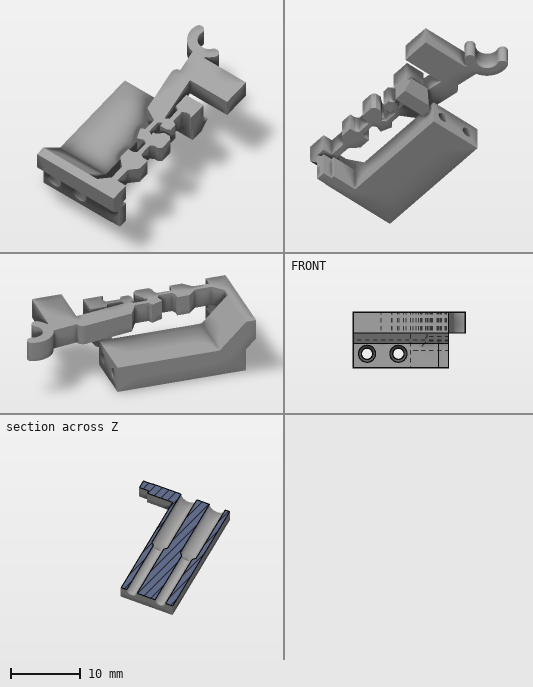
import cadquery as cq
import math

total_height = 8.0
arm_thickness = 3.0
arm_bottom = total_height - arm_thickness
base_top = 4.0
tab_bottom = 2.5

base_width = 8.2
base_back = 21.0
wall_width = 13.7
wall_thickness = 1.52
foot_back = 3.5
foot_tip_start = 12.2
foot_tip_recess = 0.05

bore_diameter = 2.45
bore_depth = 9.92
pilot_diameter = 1.6
hole_first_x = 2.0
hole_pitch = 4.5
hole_height = 2.02
hole_count = 2

anchor_back = 3.0
stem_width = 1.0

chain_x = 11.65
offset_flexure_x = 10.02
web_width = 0.7
flare_run = 0.55
flare_rise = 0.33
flexure_length = 2.7
lower_flexure_start = 8.6
middle_flexure_start = 12.7
upper_flexure_start = 16.25
lower_flexure_end = lower_flexure_start + flexure_length
middle_flexure_end = middle_flexure_start + flexure_length
upper_flexure_end = upper_flexure_start + flexure_length

link_width = 3.5
link_shoulder = 6.7
link_taper = (link_width - stem_width) / 2

jaw_tip_x = 9.0
jaw_toe = (9.7, 10.95)
lobe_bottom_x = 13.15
lobe_lower_y = 11.65
lobe_upper_y = 13.62
lobe_top = 14.1
lobe_top_right = 13.22
lobe_top_left = 12.33
lobe_ledge = (11.35, 13.22)

pad_left = 10.98
pad_right = 12.65
pad_bottom = 14.78
pad_corner_x = 12.2
pad_corner_y = 15.08

arm_slope = 1 / 6
arm_heel = (7.57, 16.25)
arm_right_foot = 10.68
head_right = 16.07
head_bottom = 24.05
head_top = 28.53
head_notch_x = 8.55
neck_base = (7.17, 24.7)
shoulder_end_y = 23.67

hook_center = (7.17, 31.65)
hook_inner_radius = 1.7
hook_outer_radius = 3.2
hook_start_angle = 164.3
hook_end_angle = 322
hook_overlap = 0.33

latch_left = 10.6
latch_front = upper_flexure_end
latch_back = 21.55
latch_flare = 0.5
latch_flare_top = base_top + latch_flare
tab_back = 22.48
tab_corner_x = 10.6
tab_edge_height = 0.13
tooth_width = 0.55
tooth_length = 0.43


def arm_plate(points):
    """Extrude a plan outline through the arm thickness."""
    return (
        cq.Workplane("XY", origin=(0, 0, arm_bottom))
        .polyline(points)
        .close()
        .extrude(arm_thickness)
    )


def box(x_range, y_range, z_range):
    (x0, x1), (y0, y1), (z0, z1) = x_range, y_range, z_range
    return cq.Workplane("XY").box(x1 - x0, y1 - y0, z1 - z0, centered=False).translate((x0, y0, z0))


def side_extrusion(points, width):
    """Extrude a (Y, Z) profile along +X from X = 0."""
    return cq.Workplane("YZ").polyline(points).close().extrude(width)


def base():
    overhang = [
        (wall_thickness, 0),
        (wall_thickness, arm_bottom - wall_thickness),
        (0, arm_bottom),
        (0, total_height),
        (wall_thickness, total_height),
    ]
    ramp_end = wall_thickness + total_height - base_top
    plate = side_extrusion(
        overhang + [(ramp_end, base_top), (base_back, base_top), (base_back, 0)], base_width
    )
    step = arm_bottom - base_top
    foot = side_extrusion(
        overhang
        + [
            (wall_thickness, arm_bottom),
            (wall_thickness + step, base_top),
            (foot_back, base_top),
            (foot_back, 0),
        ],
        wall_width,
    )
    tip_x = (foot_tip_start, wall_width)
    foot = foot.cut(box(tip_x, (anchor_back, foot_back), (0, base_top)))
    front = (wall_thickness, wall_thickness + foot_tip_recess)
    foot = foot.cut(box(tip_x, front, (0, arm_bottom - wall_thickness)))
    return plate.union(foot)


def screw_holes():
    """Through holes along Y: a wide front bore, a 45 degree cone, then a narrow pilot."""
    bore_radius = bore_diameter / 2
    pilot_radius = pilot_diameter / 2
    cone_end = bore_depth + bore_radius - pilot_radius
    hole_length = base_back - wall_thickness
    hole = (
        cq.Workplane("XY")
        .polyline([
            (0, 0),
            (bore_radius, 0),
            (bore_radius, bore_depth),
            (pilot_radius, cone_end),
            (pilot_radius, hole_length),
            (0, hole_length),
        ])
        .close()
        .revolve(360, (0, 0, 0), (0, 1, 0))
    )
    holes = cq.Workplane("XY")
    for index in range(hole_count):
        x = hole_first_x + index * hole_pitch
        holes = holes.union(hole.translate((x, wall_thickness, hole_height)))
    return holes


def flexure(center_x, start_y):
    half = web_width / 2
    wide = half + flare_run
    end_y = start_y + flexure_length
    right = [
        (wide, start_y),
        (half, start_y + flare_rise),
        (half, end_y - flare_rise),
        (wide, end_y),
    ]
    left = [(-x, y) for x, y in reversed(right)]
    return arm_plate([(center_x + x, y) for x, y in right + left])


def anchor():
    stem_left = chain_x - stem_width / 2
    stem_right = chain_x + stem_width / 2
    gusset = anchor_back - wall_thickness
    return arm_plate([
        (stem_left - gusset, wall_thickness),
        (stem_left - gusset, 0),
        (wall_width, 0),
        (wall_width, anchor_back),
        (stem_right, anchor_back),
        (stem_right, link_shoulder),
        (stem_left, link_shoulder),
        (stem_left, anchor_back),
    ])


def lower_link():
    half = link_width / 2
    stem_half = stem_width / 2
    return arm_plate([
        (chain_x - stem_half, link_shoulder - link_taper),
        (chain_x + stem_half, link_shoulder - link_taper),
        (chain_x + half, link_shoulder),
        (chain_x + half, lower_flexure_start),
        (chain_x - half, lower_flexure_start),
        (chain_x - half, link_shoulder),
    ])


def middle_link():
    web_left = offset_flexure_x - web_width / 2
    web_right = offset_flexure_x + web_width / 2
    flare_half = web_width / 2 + flare_run
    return arm_plate([
        (jaw_tip_x, middle_flexure_start),
        jaw_toe,
        (chain_x - flare_half, lower_flexure_end),
        (lobe_bottom_x, lower_flexure_end),
        (wall_width, lobe_lower_y),
        (wall_width, lobe_upper_y),
        (lobe_top_right, lobe_top),
        (lobe_top_left, lobe_top),
        lobe_ledge,
        (pad_left, lobe_ledge[1]),
        (pad_left, middle_flexure_start),
        (web_right, middle_flexure_start + flare_rise),
        (web_left, middle_flexure_start + flare_rise),
    ])


def lever():
    web_left = offset_flexure_x - web_width / 2
    web_right = offset_flexure_x + web_width / 2
    web_top = middle_flexure_end - flare_rise
    heel_x, heel_y = arm_heel
    neck_x, neck_y = neck_base
    shoulder_end = (heel_x - arm_slope * (shoulder_end_y - heel_y), shoulder_end_y)
    neck_top_y = hook_center[1] - hook_outer_radius + hook_overlap
    neck_top = (neck_x - arm_slope * (neck_top_y - neck_y), neck_top_y)
    elbow_x = arm_right_foot - arm_slope * (head_bottom - upper_flexure_start)
    return (
        cq.Workplane("XY", origin=(0, 0, arm_bottom))
        .moveTo(web_left, web_top)
        .lineTo(heel_x, heel_y)
        .lineTo(*shoulder_end)
        .tangentArcPoint(neck_base, relative=False)
        .lineTo(*neck_top)
        .lineTo(head_notch_x, neck_top_y + hook_overlap)
        .lineTo(head_notch_x, head_top)
        .lineTo(head_right, head_top)
        .lineTo(head_right, head_bottom)
        .lineTo(elbow_x, head_bottom)
        .lineTo(arm_right_foot, upper_flexure_start)
        .lineTo(pad_right, upper_flexure_start)
        .lineTo(pad_right, pad_corner_y)
        .lineTo(pad_corner_x, pad_bottom)
        .lineTo(pad_left, pad_bottom)
        .lineTo(pad_left, middle_flexure_end)
        .lineTo(web_right, web_top)
        .close()
        .extrude(arm_thickness)
    )


def hook():
    """C-shaped hook of constant width with round ends."""
    middle_angle = (hook_start_angle + hook_end_angle) / 2

    def at(radius, degrees):
        angle = math.radians(degrees)
        return (
            hook_center[0] + radius * math.cos(angle),
            hook_center[1] + radius * math.sin(angle),
        )

    return (
        cq.Workplane("XY", origin=(0, 0, arm_bottom))
        .moveTo(*at(hook_outer_radius, hook_start_angle))
        .threePointArc(at(hook_outer_radius, middle_angle), at(hook_outer_radius, hook_end_angle))
        .tangentArcPoint(at(hook_inner_radius, hook_end_angle), relative=False)
        .threePointArc(at(hook_inner_radius, middle_angle), at(hook_inner_radius, hook_start_angle))
        .tangentArcPoint(at(hook_outer_radius, hook_start_angle), relative=False)
        .close()
        .extrude(arm_thickness)
    )


def latch():
    block = box(
        (latch_left, wall_width), (latch_front, latch_back), (latch_flare_top, total_height)
    )
    tooth = arm_plate([
        (wall_width, latch_front),
        (wall_width, latch_front - tooth_length),
        (wall_width - tooth_width, latch_front),
    ])
    spread_left = latch_left - latch_flare
    spread_back = latch_back + latch_flare
    toward_left = (
        cq.Workplane("XZ", origin=(0, latch_front, 0))
        .polyline([
            (spread_left, base_top),
            (wall_width, base_top),
            (wall_width, latch_flare_top),
            (latch_left, latch_flare_top),
        ])
        .close()
        .extrude(latch_front - spread_back)
    )
    toward_back = side_extrusion(
        [
            (latch_front, base_top),
            (spread_back, base_top),
            (latch_back, latch_flare_top),
            (latch_front, latch_flare_top),
        ],
        wall_width,
    )
    spread = toward_left.intersect(toward_back)
    return block.union(tooth).union(spread)


def tab():
    """Shelf joining the base to the latch, with a 45 degree corner in plan."""
    corner_y = tab_back - (tab_corner_x - base_width)
    plate = (
        cq.Workplane("XY", origin=(0, 0, tab_bottom))
        .polyline([
            (base_width, latch_front),
            (wall_width, latch_front),
            (wall_width, tab_back),
            (tab_corner_x, tab_back),
            (base_width, corner_y),
        ])
        .close()
        .extrude(base_top - tab_bottom)
    )
    bevel = base_top - tab_edge_height - tab_bottom
    wedge = side_extrusion(
        [(tab_back - bevel, tab_bottom), (tab_back, tab_bottom), (tab_back, tab_bottom + bevel)],
        wall_width,
    )
    return plate.cut(wedge)


result = base().cut(screw_holes())
for section in (
    anchor(),
    lower_link(),
    flexure(chain_x, lower_flexure_start),
    middle_link(),
    flexure(offset_flexure_x, middle_flexure_start),
    lever(),
    hook(),
    flexure(chain_x, upper_flexure_start),
    latch(),
    tab(),
):
    result = result.union(section)